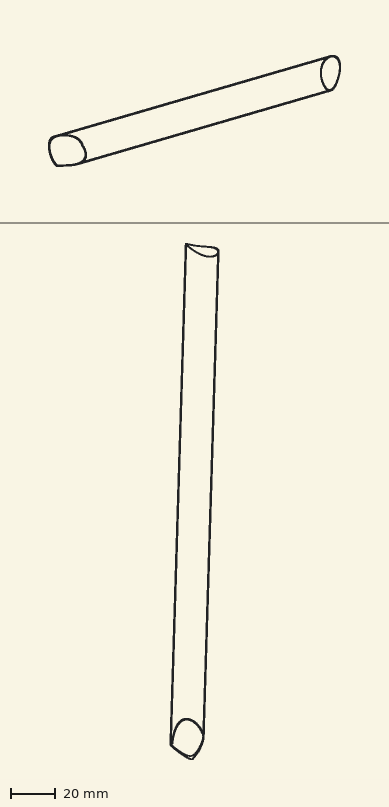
import cadquery as cq
import math

tube_diameter = 15.0
wall = 0.4
tube_tilt = 38.7
tube_azimuth = 28.6
centre = cq.Vector(3.8, 1.4, 0)
blank_half_length = 159.7
waste_length = 199.6

mouths = [
    dict(radius=7.5, tilt=90, azimuth=90, along=-129.7, aside=0),
    dict(radius=11.0, tilt=90, azimuth=0, along=-132.0, aside=7.0),
    dict(radius=18.8, tilt=20.1, azimuth=261.1, along=139.7, aside=0.8),
]


def direction(tilt, azimuth):
    """Unit vector tilted away from Z, towards an azimuth measured from X."""
    lean = math.radians(tilt)
    turn = math.radians(azimuth)
    return cq.Vector(
        math.sin(lean) * math.cos(turn),
        math.sin(lean) * math.sin(turn),
        math.cos(lean),
    )


axis = direction(tube_tilt, tube_azimuth)


def tube_blank():
    level_side = axis.cross(cq.Vector(0, 0, 1))
    plane = cq.Plane(centre - axis * blank_half_length, level_side, axis)
    outer_radius = tube_diameter / 2
    ring = cq.Workplane(plane).circle(outer_radius).circle(outer_radius - wall)
    return ring.extrude(2 * blank_half_length)


def mouth_cutter(radius, tilt, azimuth, along, aside):
    """Round bar across the tube, carried on past the tube end to clear the waste."""
    bar = direction(tilt, azimuth)
    side = axis.cross(bar).normalized()
    plane = cq.Plane(centre + axis * along + side * aside, side, bar)
    outward = math.copysign(1, plane.yDir.dot(axis) * along)
    section = (
        cq.Workplane(plane)
        .moveTo(-radius, outward * waste_length)
        .lineTo(-radius, 0)
        .threePointArc((0, -outward * radius), (radius, 0))
        .lineTo(radius, outward * waste_length)
        .close()
    )
    return section.extrude(waste_length, both=True)


result = tube_blank()
for mouth in mouths:
    result = result.cut(mouth_cutter(**mouth))